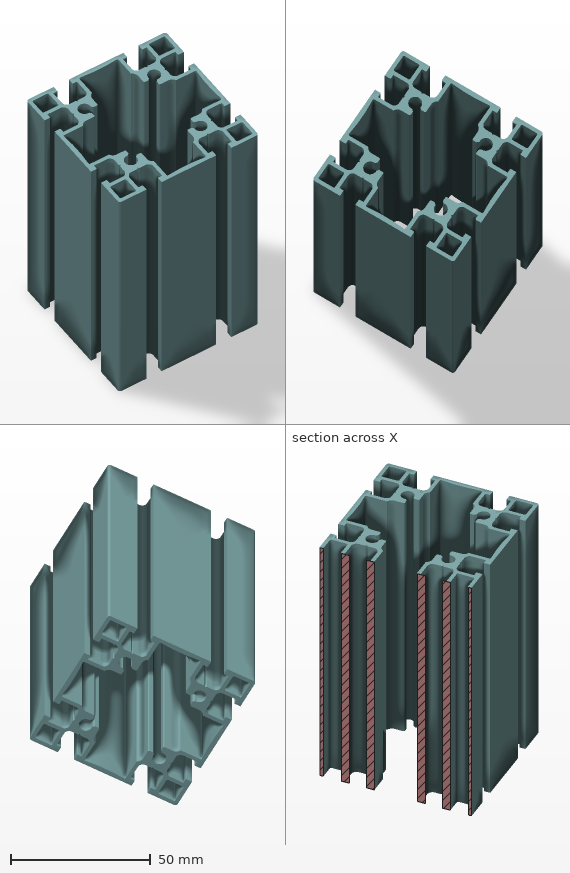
import cadquery as cq
import math

side = 60.0
length = 100.0
half = side / 2
edge_radius = 1.0

slot_inset = 15.0
slot_width = 6.5
cavity_width = 10.2
cavity_radius = 2.0
lip_depth = 2.5
slot_depth = 10.1
lip_radius = 0.2
notch_width = 0.9
notch_depth = 0.5

wall = 1.5
end_wall = 1.4
mid_wall = 1.9
step_radius = 2.5
step_depth = 10.0
chamber_radius = 0.5
box_radius = 0.5

screw_radius = 2.5
screw_gap = 3.0
boss_reach = 1.1
boss_radius = 0.5

slot_axis = half - slot_inset
boss_face = slot_axis - cavity_width / 2
web_face = boss_face - wall
core_half = slot_axis - boss_reach
box_outer = half - wall
box_inner = slot_axis + cavity_width / 2 + wall

tolerance = 0.01


def rectangle_bar(x_min, x_max, y_min, y_max):
    """Full-length bar between the given X and Y limits."""
    center = ((x_min + x_max) / 2, (y_min + y_max) / 2)
    return cq.Workplane("XY").center(*center).rect(x_max - x_min, y_max - y_min).extrude(length)


def all_quarters(bar):
    """The bar joined with its three quarter-turn copies about the profile axis."""
    joined = bar
    for quarter in range(1, 4):
        joined = joined.union(bar.rotate((0, 0, 0), (0, 0, 1), 90 * quarter))
    return joined


def outer_bar():
    """Solid bar with rounded long edges."""
    return cq.Workplane("XY").rect(side, side).extrude(length).edges("|Z").fillet(edge_radius)


def t_slot(axis_x):
    """Void of one T-slot in the -Y side, with rounded lips and a V notch in its floor."""
    floor = slot_depth - half
    lip = lip_depth - half
    opening = rectangle_bar(axis_x - slot_width / 2, axis_x + slot_width / 2, -half, lip)
    cavity = rectangle_bar(axis_x - cavity_width / 2, axis_x + cavity_width / 2, lip, floor)
    cavity = cavity.faces(">Y").edges("|Z").fillet(cavity_radius)
    lip_corners = cq.selectors.BoxSelector(
        (axis_x - slot_width / 2 - lip_radius, lip - lip_radius, 0),
        (axis_x + slot_width / 2 + lip_radius, lip + lip_radius, length),
    )
    slot = cavity.union(opening).edges("|Z").edges(lip_corners).fillet(lip_radius)
    notch = (
        cq.Workplane("XY")
        .moveTo(axis_x - notch_width / 2, floor)
        .lineTo(axis_x, floor + notch_depth)
        .lineTo(axis_x + notch_width / 2, floor)
        .close()
        .extrude(length)
    )
    return slot.union(notch)


def side_chamber():
    """Void from the -Y outer wall to the profile axis; the outer wall bulges gently inward."""
    step_start = step_depth - half
    arc_center_x = boss_face - step_radius
    start_angle = math.acos((web_face - arc_center_x) / step_radius)
    step_end = step_start + step_radius * math.sin(start_angle)
    arc_x = arc_center_x + step_radius * math.cos(start_angle / 2)
    arc_y = step_end - step_radius * math.sin(start_angle / 2)
    chamber = (
        cq.Workplane("XY")
        .moveTo(-boss_face, 0)
        .lineTo(-boss_face, step_end)
        .threePointArc((-arc_x, arc_y), (-web_face, step_start))
        .lineTo(-web_face, end_wall - half)
        .threePointArc((0, mid_wall - half), (web_face, end_wall - half))
        .lineTo(web_face, step_start)
        .threePointArc((arc_x, arc_y), (boss_face, step_end))
        .lineTo(boss_face, 0)
        .close()
        .extrude(length)
    )
    wall_corners = cq.selectors.BoxSelector((-half, -half, 0), (half, mid_wall - half - tolerance, length))
    return chamber.edges("|Z").edges(wall_corners).fillet(chamber_radius)


def is_arm_tip(long_edge):
    """True for the eight long edges where a boss arm tip meets a chamber."""
    center = long_edge.Center()
    near, far = sorted((abs(center.x), abs(center.y)))
    return abs(near - boss_face) < tolerance and abs(far - core_half) < tolerance


def core():
    """Void at the middle: four side chambers and a square, with the boss arm tips rounded."""
    square = rectangle_bar(-core_half, core_half, -core_half, core_half)
    void = square.union(all_quarters(side_chamber()))
    return void.edges("|Z").filter(is_arm_tip).fillet(boss_radius)


def screw_channel():
    """Round void in the (-X, -Y) boss with a diagonal mouth toward the profile axis."""
    hole = cq.Workplane("XY").center(-slot_axis, -slot_axis).circle(screw_radius).extrude(length)
    mouth_length = slot_axis * math.sqrt(2)
    mouth = rectangle_bar(-mouth_length, 0, -screw_gap / 2, screw_gap / 2)
    return hole.union(mouth.rotate((0, 0, 0), (0, 0, 1), 45))


def corner_box():
    """Square void in the (-X, -Y) corner."""
    return rectangle_bar(-box_outer, -box_inner, -box_outer, -box_inner).edges("|Z").fillet(box_radius)


result = outer_bar().cut(core())
for void in (t_slot(-slot_axis), t_slot(slot_axis), screw_channel(), corner_box()):
    result = result.cut(all_quarters(void))